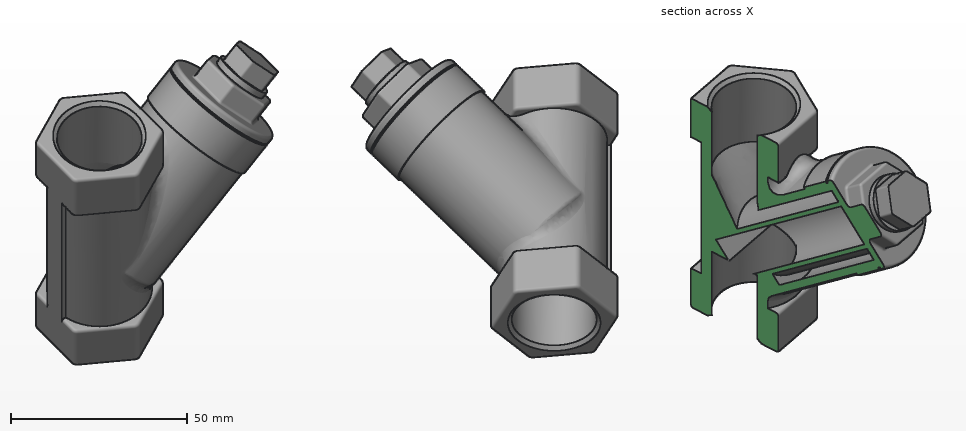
import cadquery as cq
import math

OVERALL_HEIGHT = 80.3

BODY_LENGTH = 80.0
END_HEX_FLATS = 31.95
END_HEX_HEIGHT = 15.0
END_HEX_CORNER_RADIUS = 1.9
END_HEX_EDGE_RADIUS = 1.0
PIPE_DIAMETER = 30.0
RIB_WIDTH = 7.0

BRANCH_TILT = 40
BRANCH_DIAMETER = 34.0
BRANCH_START = 2.4
BRANCH_END_RADIUS = 1.6
BRANCH_BLEND_RADIUS = 4
COLLAR_DIAMETER = 35.0
COLLAR_START = 45.05
LID_START = 55.4
LID_GAP = 0.5
LID_GAP_DIAMETER = 34.0
LID_TOP = 58.3
LID_EDGE_RADIUS = 1.0

LID_HEX_FLATS = 20.95
LID_HEX_TOP = 65
LID_HEX_CORNER_RADIUS = 1.0
LID_HEX_EDGE_RADIUS = 0.8
LID_HEX_BASE_RADIUS = 0.8
PLUG_COLLAR_DIAMETER = 16.5
PLUG_COLLAR_TOP = 67.05
PLUG_TOP = 73.1
PLUG_FLATS = 14.0
PLUG_CORNER_RADIUS = 0.8

PORT_DIAMETER = 24.1
PORT_DEPTH = 25.3
PORT_CHAMFER = 1.1
CHAMBER_DIAMETER = 29.5
CHAMBER_START = 11.25
SEAT_POSITION = 8
SEAT_BORE_START = -3.2
SCREEN_OUTER_DIAMETER = 24.0
SCREEN_INNER_DIAMETER = 22.0

HALF_LENGTH = BODY_LENGTH / 2
END_HEX_CENTRE = HALF_LENGTH - END_HEX_HEIGHT / 2
PORT_FLOOR = HALF_LENGTH - PORT_DEPTH

TILT = math.radians(BRANCH_TILT)
PLUG_RISE = PLUG_TOP * math.sin(TILT) + PLUG_FLATS / 2 * math.cos(TILT)
BRANCH_ORIGIN_Z = OVERALL_HEIGHT - HALF_LENGTH - PLUG_RISE

branch_plane = cq.Plane(
    origin=(0, 0, BRANCH_ORIGIN_Z), xDir=(0, 1, 0), normal=(0, 0, 1)
).rotated((0, 90 - BRANCH_TILT, 0))
branch_outer_end = cq.selectors.DirectionMinMaxSelector(branch_plane.zDir)
branch_inner_end = cq.selectors.DirectionMinMaxSelector(branch_plane.zDir, directionMax=False)


def branch_section(position):
    """Workplane square to the branch axis at a position along it."""
    return cq.Workplane(branch_plane).workplane(offset=position)


def branch_cylinder(diameter, start, end):
    return branch_section(start).circle(diameter / 2).extrude(end - start)


def hexagon(section, flats, height, corner_radius):
    """Hexagonal prism with rounded corners, circumscribed about the flats diameter."""
    normal = section.plane.zDir
    return (
        section.polygon(6, flats, circumscribed=True)
        .extrude(height)
        .edges(cq.selectors.ParallelDirSelector(normal))
        .fillet(corner_radius)
    )


def end_hexagon():
    """Sharp-edged hexagonal end centred on the origin, with flats facing -Y and +Y."""
    plane = cq.Plane(origin=(0, 0, -END_HEX_HEIGHT / 2), xDir=(0, 1, 0), normal=(0, 0, 1))
    return hexagon(cq.Workplane(plane), END_HEX_FLATS, END_HEX_HEIGHT, END_HEX_CORNER_RADIUS)


def lower_end():
    rounded = end_hexagon().faces("<Z or >Z").edges().fillet(END_HEX_EDGE_RADIUS)
    return rounded.translate((0, 0, -END_HEX_CENTRE))


def upper_end():
    """Hexagonal end whose lower edge is rounded on the -X half and sharp on the +X half."""
    top_rounded = end_hexagon().faces(">Z").edges().fillet(END_HEX_EDGE_RADIUS)
    rounded = top_rounded.faces("<Z").edges().fillet(END_HEX_EDGE_RADIUS)
    positive_x_half = cq.Workplane("XY").box(
        BODY_LENGTH, BODY_LENGTH, BODY_LENGTH, centered=(False, True, True)
    )
    return rounded.union(top_rounded.intersect(positive_x_half)).translate((0, 0, END_HEX_CENTRE))


def blended_pipe_and_branch():
    """Pipe and branch joined with a fillet along the line where they meet."""
    pipe_length = 2 * END_HEX_CENTRE
    pipe = (
        cq.Workplane("XY", origin=(0, 0, -pipe_length / 2))
        .circle(PIPE_DIAMETER / 2)
        .extrude(pipe_length)
        .rotate((0, 0, 0), (0, 0, 1), -90)
    )
    branch = branch_cylinder(BRANCH_DIAMETER, BRANCH_START, COLLAR_START)
    branch = branch.faces(branch_inner_end).edges().fillet(BRANCH_END_RADIUS)
    return pipe.union(branch).edges("%BSPLINE").fillet(BRANCH_BLEND_RADIUS)


def collar_and_lid():
    collar = branch_cylinder(COLLAR_DIAMETER, COLLAR_START, LID_START)
    gap = branch_cylinder(LID_GAP_DIAMETER, LID_START, LID_START + LID_GAP)
    lid = branch_cylinder(COLLAR_DIAMETER, LID_START + LID_GAP, LID_TOP)
    lid = lid.faces(branch_outer_end).edges().fillet(LID_EDGE_RADIUS)
    lid_hex = hexagon(
        branch_section(LID_TOP), LID_HEX_FLATS, LID_HEX_TOP - LID_TOP, LID_HEX_CORNER_RADIUS
    )
    lid_hex = lid_hex.faces(branch_outer_end).edges().fillet(LID_HEX_EDGE_RADIUS)
    lid = lid.union(lid_hex)
    hex_foot = [edge for face in lid.faces().vals() for wire in face.innerWires() for edge in wire.Edges()]
    lid = lid.newObject(hex_foot).fillet(LID_HEX_BASE_RADIUS)
    return collar.union(gap).union(lid)


def plug():
    collar = branch_cylinder(PLUG_COLLAR_DIAMETER, LID_HEX_TOP, PLUG_COLLAR_TOP)
    head = hexagon(
        branch_section(PLUG_COLLAR_TOP), PLUG_FLATS, PLUG_TOP - PLUG_COLLAR_TOP, PLUG_CORNER_RADIUS
    )
    return collar.union(head)


def port():
    """Blind round hole in the upper end with a chamfered mouth."""
    mouth_radius = PORT_DIAMETER / 2 + PORT_CHAMFER
    bore = cq.Workplane("XY", origin=(0, 0, PORT_FLOOR)).circle(PORT_DIAMETER / 2).extrude(PORT_DEPTH)
    mouth = cq.Solid.makeCone(
        PORT_DIAMETER / 2, mouth_radius, PORT_CHAMFER, pnt=cq.Vector(0, 0, HALF_LENGTH - PORT_CHAMFER)
    )
    return bore.union(cq.Workplane(mouth))


def outlet():
    """Passage that leads from the strainer seat circle up to the floor of the top port."""
    port_plane = cq.Plane(origin=(0, 0, PORT_FLOOR), xDir=(0, 1, 0), normal=(0, 0, 1))
    port_edge = cq.Workplane(port_plane).circle(PORT_DIAMETER / 2).val()
    seat_edge = branch_section(SEAT_POSITION).circle(SCREEN_OUTER_DIAMETER / 2).val()
    return cq.Workplane(cq.Solid.makeLoft([seat_edge, port_edge]))


def internal_passages():
    chamber = branch_cylinder(CHAMBER_DIAMETER, CHAMBER_START, LID_START)
    return outlet().union(chamber).union(port()).union(port().mirror("XY"))


def screen():
    return branch_cylinder(SCREEN_OUTER_DIAMETER, SEAT_POSITION, LID_START)


def seat_bore():
    """Passage from the bottom port through the seat and along the inside of the screen."""
    return branch_cylinder(SCREEN_INNER_DIAMETER, SEAT_BORE_START, LID_START)


def rib():
    """Bar along the pipe, flush with the -Y flats of both end hexagons."""
    depth = END_HEX_FLATS / 2
    bar = cq.Workplane("XY").box(RIB_WIDTH, depth, 2 * END_HEX_CENTRE)
    return bar.translate((0, -depth / 2, 0))


outer = blended_pipe_and_branch().union(rib()).union(lower_end()).union(upper_end())
outer = outer.union(collar_and_lid()).union(plug())
result = outer.cut(internal_passages()).union(screen()).cut(seat_bore())